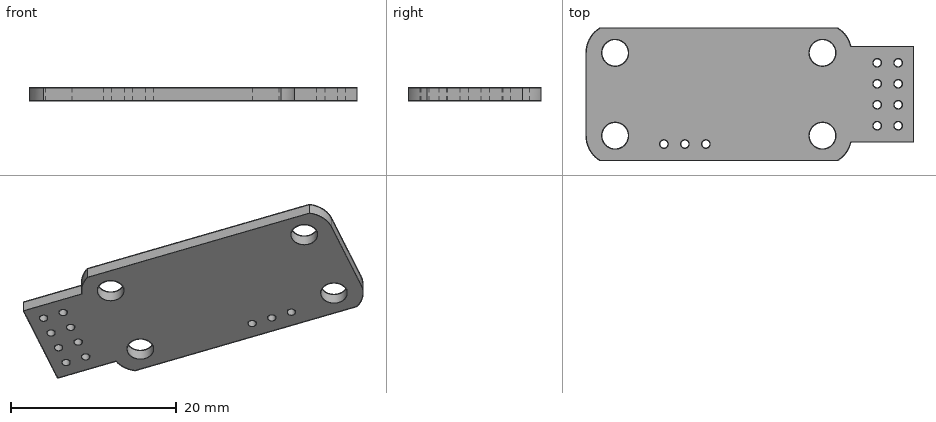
import cadquery as cq
import math

board_length = 39.5
board_width = 16.0
thickness = 1.6
tab_width = 11.55

mount_diameter = 3.2
mount_pitch_x = 25.0
mount_pitch_y = 10.0
corner_radius = 3.5

pin_diameter = 1.0
pin_pitch = 2.53
tab_pin_columns = 2
tab_pin_rows = 4
tab_pins_x = 36.38
edge_pin_count = 3
edge_pins_x = 11.93
edge_pins_y = -6.0

half_width = board_width / 2
half_tab = tab_width / 2
left_center_x = corner_radius
right_center_x = left_center_x + mount_pitch_x
corner_center_y = mount_pitch_y / 2
long_edge_angle = math.asin((half_width - corner_center_y) / corner_radius)
tab_angle = math.asin((half_tab - corner_center_y) / corner_radius)


def right_corner_point(angle):
    """Point on the upper right corner arc, at an angle from +X."""
    return (
        right_center_x + corner_radius * math.cos(angle),
        corner_center_y + corner_radius * math.sin(angle),
    )


def left_corner_point(angle):
    """Point on the upper left corner arc, at an angle from -X."""
    return (
        left_center_x - corner_radius * math.cos(angle),
        corner_center_y + corner_radius * math.sin(angle),
    )


def make_board():
    """Extrude the upper half outline and mirror it about the centreline."""
    upper_half = (
        cq.Workplane("XY")
        .moveTo(0, 0)
        .lineTo(*left_corner_point(0))
        .threePointArc(left_corner_point(long_edge_angle / 2), left_corner_point(long_edge_angle))
        .lineTo(*right_corner_point(long_edge_angle))
        .threePointArc(
            right_corner_point((long_edge_angle + tab_angle) / 2),
            right_corner_point(tab_angle),
        )
        .lineTo(board_length, half_tab)
        .lineTo(board_length, 0)
        .close()
        .extrude(thickness)
    )
    return upper_half.union(upper_half.mirror("XZ")).clean()


def hole_grid(center_x, center_y, pitch_x, pitch_y, columns, rows, diameter):
    """Cylinders for a rectangular grid of through holes."""
    return (
        cq.Workplane("XY")
        .center(center_x, center_y)
        .rarray(pitch_x, pitch_y, columns, rows)
        .circle(diameter / 2)
        .extrude(thickness)
    )


mount_center_x = (left_center_x + right_center_x) / 2
mount_holes = hole_grid(mount_center_x, 0, mount_pitch_x, mount_pitch_y, 2, 2, mount_diameter)
tab_pins = hole_grid(
    tab_pins_x, 0, pin_pitch, pin_pitch, tab_pin_columns, tab_pin_rows, pin_diameter
)
edge_pins = hole_grid(
    edge_pins_x, edge_pins_y, pin_pitch, pin_pitch, edge_pin_count, 1, pin_diameter
)

result = make_board().cut(mount_holes).cut(tab_pins).cut(edge_pins)